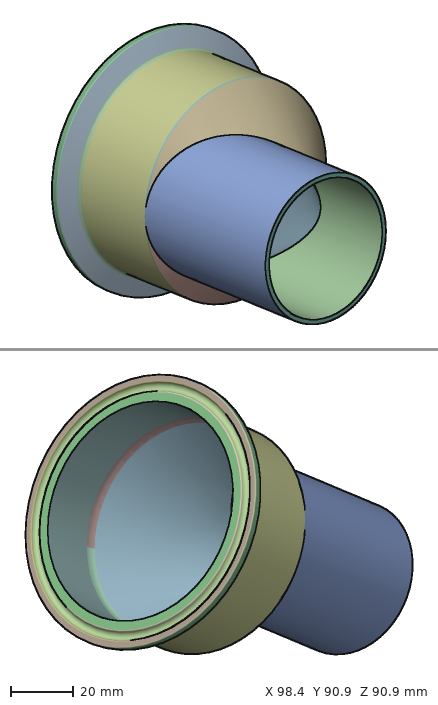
import cadquery as cq
import math

length = 98.4
large_diameter = 76.2
large_bore_diameter = 72.9
small_diameter = 50.8

flange_diameter = 90.9
flange_thickness = 2.9
flange_back_angle = math.radians(20)
flange_edge_fillet = 0.4
flange_root_fillet = 1.3

groove_radius = 41.4
groove_depth = 1.6
groove_width = 3.0
groove_lip_fillet = 0.5

outer_cone_start = 38.3
outer_cone_angle = math.radians(39.6)
outer_bend_radius = 0.8

bore_cone_start = 23.6
bore_cone_angle = math.radians(30)
inner_bend_radius = 6.3

large_radius = large_diameter / 2
small_radius = small_diameter / 2
flange_radius = flange_diameter / 2
large_bore_radius = large_bore_diameter / 2
wall = large_radius - large_bore_radius
small_bore_radius = small_radius - wall

small_tube_offset = small_radius - large_radius


def revolve_about_x(face):
    """Turn a flat (x, radius) section into a solid of revolution about the X axis."""
    return cq.Workplane(cq.Solid.revolve(face, 360, cq.Vector(0, 0, 0), cq.Vector(1, 0, 0)))


def section_face(outline):
    """Flat face inside a closed (x, radius) outline."""
    return cq.Face.makeFromWires(outline.close().val())


def round_corner(face, corner, radius):
    """Fillet the corner of a flat section that lies at the given (x, radius) point."""
    target = cq.Vector(*corner)
    vertex = min(face.Vertices(), key=lambda candidate: (candidate.Center() - target).Length)
    return face.fillet2D(radius, [vertex])


def bend_start(taper_start, cone_angle, bend_radius):
    """X position where a bend leaves the cylinder ahead of the sharp taper corner."""
    return taper_start - bend_radius * math.tan(cone_angle / 2)


def tapered_plug(radius, taper_start, cone_angle, bend_radius):
    """Cylinder from X = 0 that bends smoothly into a full cone."""
    taper_corner = (taper_start, radius)
    apex_x = taper_start + radius / math.tan(cone_angle)
    outline = (
        cq.Workplane("XY")
        .lineTo(0, radius)
        .lineTo(*taper_corner)
        .lineTo(apex_x, 0)
    )
    return revolve_about_x(round_corner(section_face(outline), taper_corner, bend_radius))


def small_cylinder(radius, start):
    """Cylinder on the small tube's axis, from the given X to the small end."""
    return (
        cq.Workplane("YZ", origin=(start, small_tube_offset, 0))
        .circle(radius)
        .extrude(length - start)
    )


def flange():
    """Clamp flange ring with a sloping back and a round gasket groove in its face."""
    root_x = flange_thickness + (flange_radius - large_radius) * math.tan(flange_back_angle)
    neck_end = root_x + 2 * flange_root_fillet
    inner_lip = (0, groove_radius - groove_width / 2)
    outer_lip = (0, groove_radius + groove_width / 2)
    rim_front = (0, flange_radius)
    rim_back = (flange_thickness, flange_radius)
    root = (root_x, large_radius)
    outline = (
        cq.Workplane("XY")
        .moveTo(0, large_bore_radius)
        .lineTo(*inner_lip)
        .threePointArc((groove_depth, groove_radius), outer_lip)
        .lineTo(*rim_front)
        .lineTo(*rim_back)
        .lineTo(*root)
        .lineTo(neck_end, large_radius)
        .lineTo(neck_end, large_bore_radius)
    )
    section = section_face(outline)
    for lip in (inner_lip, outer_lip):
        section = round_corner(section, lip, groove_lip_fillet)
    for rim_edge in (rim_front, rim_back):
        section = round_corner(section, rim_edge, flange_edge_fillet)
    section = round_corner(section, root, flange_root_fillet)
    return revolve_about_x(section)


outside = tapered_plug(large_radius, outer_cone_start, outer_cone_angle, outer_bend_radius)
outer_bend_start = bend_start(outer_cone_start, outer_cone_angle, outer_bend_radius)
outside = outside.union(small_cylinder(small_radius, outer_bend_start))
outside = outside.union(flange())

bore = tapered_plug(large_bore_radius, bore_cone_start, bore_cone_angle, inner_bend_radius)
bore_bend_start = bend_start(bore_cone_start, bore_cone_angle, inner_bend_radius)
bore = bore.union(small_cylinder(small_bore_radius, bore_bend_start))

result = outside.cut(bore).solids()